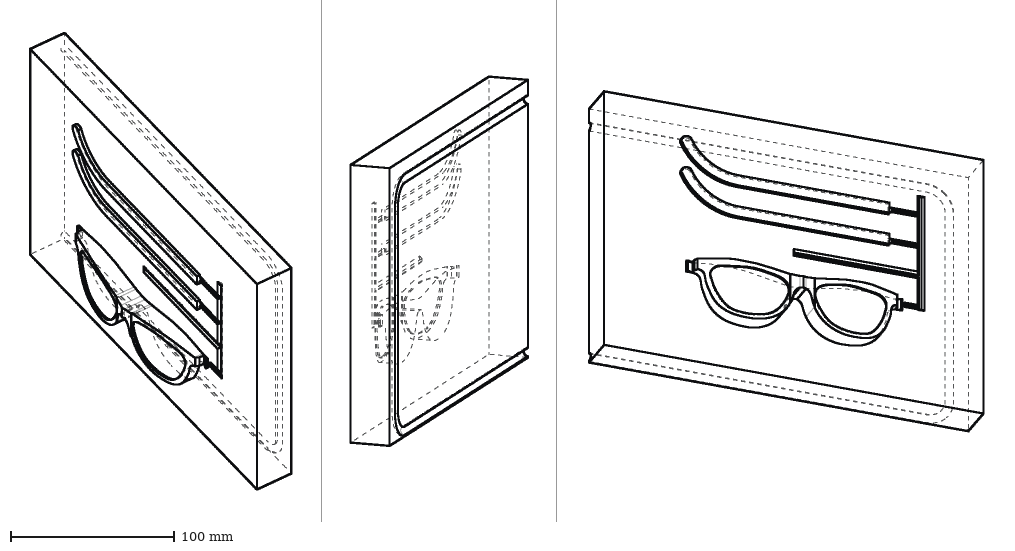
import cadquery as cq
import math

PLATE_LENGTH = 250.0
PLATE_HEIGHT = 175.0
PLATE_THICKNESS = 25.5
TOTAL_DEPTH = 41.52
RELIEF_DEPTH = TOTAL_DEPTH - PLATE_THICKNESS

TEMPLE_DEPTH = 2.3
TEMPLE_WIDTH = 7.0
TEMPLE_PITCH = 21.5
UPPER_TEMPLE_Z = 41.5
TEMPLE_ENDS_X = (-37.8, 62.2)
TEMPLE_BEND_RADIUS = 37.5
TEMPLE_BEND_ANGLE = 65.0
TEMPLE_TIP_BULGE = 2.4

CROWN_DEPTH = 14.2
RIM_END_X = 66.9
RIM_END_DEPTH = 5.7
RIM_SIDE_DEPTH = 3.4
RIM_SLANT = 1.1
HINGE_TOP_Z = -19.6
HINGE_BOTTOM_Z = -26.7
BRIDGE_TOP_Z = -24.1
BRIDGE_BOTTOM_Z = -32.0
BRIDGE_HALF_WIDTH = 8.0
BROW_END = (10.0, -22.9)
BRIDGE_TOP_CORNER = (BRIDGE_HALF_WIDTH, -23.3)
NOSE_CORNER = (BRIDGE_HALF_WIDTH, -43.0)
BROW_OUTER_X = 65.2
BROW_CURVE = [(20.8, -20.8), (28.5, -19.4), (37.4, -18.4), (45.8, -17.9), (54.0, -18.4)]
RIM_CURVE = [
    (61.8, -29.9), (61.0, -34.4), (59.2, -40.1), (56.0, -47.0), (51.5, -52.0),
    (45.1, -55.5), (37.4, -57.1), (27.2, -57.1), (20.8, -55.3), (14.4, -51.5), (10.2, -46.9),
]
NOSE_CURVE = [(6.0, -37.6), (4.5, -33.9)]
NOSE_ARCH_HALF_WIDTH = 2.0

LENS_RECESS = 1.0
LENS_CURVE = [
    (57.9, -31.2), (57.4, -27.0), (54.5, -24.1), (47.7, -23.0), (40.0, -22.5), (29.7, -22.7),
    (21.4, -24.4), (13.1, -27.1), (9.9, -29.9), (8.6, -33.7), (9.9, -39.3), (12.9, -44.8),
    (19.5, -51.4), (27.2, -54.0), (38.7, -54.0), (45.8, -51.9), (52.2, -45.3), (56.0, -37.8),
]

BRIDGE_EDGE_DEPTH = 14.6
STRIP_HALF_WIDTH = 2.0
STRIP_EDGE_DEPTH = 15.4

HINGE_END_X = 71.0
HINGE_LIP = 0.8
HINGE_LIP_DEPTH = 1.4

GROOVE_FLOOR_SHARE = 1 / 3
RUNNER_WIDTH = 4.6
GATE_WIDTH = 3.0
MAIN_RUNNER_X = 83.9
MAIN_RUNNER_TOP_Z = 54.5
HINGE_GATE_Z = -22.3
HINGE_GATE_START_X = 73.1
SPRUE_X = 0.0
SPRUE_Z = 0.0
TEMPLE_LAND_LENGTH = 2.7
TEMPLE_LAND_DEPTH = 0.5

CHANNEL_RADIUS = 2.7
CHANNEL_TOP_INSET = 12.5
CHANNEL_BOTTOM_INSET = 3.5
CHANNEL_TOP_Z = PLATE_HEIGHT / 2 - CHANNEL_TOP_INSET
CHANNEL_BOTTOM_Z = -PLATE_HEIGHT / 2 + CHANNEL_BOTTOM_INSET
CHANNEL_FAR_X = PLATE_LENGTH / 2 - CHANNEL_TOP_INSET
CHANNEL_BEND_RADIUS = 15.0


def front_plane():
    """Sketch plane on the plate front: local axes are X and Z, extrusion goes toward -Y."""
    return cq.Workplane("XZ")


def mirrored(half):
    return half.union(half.mirror("YZ"))


def plate():
    return (
        front_plane()
        .rect(PLATE_LENGTH, PLATE_HEIGHT)
        .extrude(-PLATE_THICKNESS)
    )


def temple(z):
    start_x, end_x = TEMPLE_ENDS_X
    bend_z = z + TEMPLE_BEND_RADIUS
    inner_radius = TEMPLE_BEND_RADIUS - TEMPLE_WIDTH / 2
    outer_radius = TEMPLE_BEND_RADIUS + TEMPLE_WIDTH / 2

    def on_bend(radius, degrees):
        angle = math.radians(degrees)
        return (start_x - radius * math.sin(angle), bend_z - radius * math.cos(angle))

    half_angle = TEMPLE_BEND_ANGLE / 2
    tip_angle = math.radians(TEMPLE_BEND_ANGLE)
    arm_end_x, arm_end_z = on_bend(TEMPLE_BEND_RADIUS, TEMPLE_BEND_ANGLE)
    tip_x = arm_end_x - TEMPLE_TIP_BULGE * math.cos(tip_angle)
    tip_z = arm_end_z + TEMPLE_TIP_BULGE * math.sin(tip_angle)
    return (
        front_plane()
        .moveTo(end_x, z - TEMPLE_WIDTH / 2)
        .lineTo(*on_bend(outer_radius, 0))
        .threePointArc(on_bend(outer_radius, half_angle), on_bend(outer_radius, TEMPLE_BEND_ANGLE))
        .threePointArc((tip_x, tip_z), on_bend(inner_radius, TEMPLE_BEND_ANGLE))
        .threePointArc(on_bend(inner_radius, half_angle), on_bend(inner_radius, 0))
        .lineTo(end_x, z + TEMPLE_WIDTH / 2)
        .close()
        .extrude(TEMPLE_DEPTH)
    )


def crowned_cylinder(inset):
    """Upright cylinder whose front is the frame's curved face, set back by `inset`."""
    drop = CROWN_DEPTH - RIM_END_DEPTH
    radius = (RIM_END_X ** 2 + drop ** 2) / (2 * drop)
    return (
        cq.Workplane("XY")
        .center(0, radius - CROWN_DEPTH)
        .circle(radius - inset)
        .extrude(PLATE_HEIGHT / 2, both=True)
    )


def half_frame():
    outline = (
        front_plane()
        .moveTo(0, BRIDGE_TOP_Z)
        .lineTo(STRIP_HALF_WIDTH, BRIDGE_TOP_Z)
        .lineTo(*BRIDGE_TOP_CORNER)
        .lineTo(*BROW_END)
        .spline(BROW_CURVE + [(BROW_OUTER_X, HINGE_TOP_Z)], includeCurrent=True)
        .lineTo(RIM_END_X, HINGE_TOP_Z)
        .lineTo(RIM_END_X, HINGE_BOTTOM_Z)
        .spline(RIM_CURVE + [NOSE_CORNER], includeCurrent=True)
        .spline(NOSE_CURVE + [(NOSE_ARCH_HALF_WIDTH, BRIDGE_BOTTOM_Z)], includeCurrent=True)
        .lineTo(0, BRIDGE_BOTTOM_Z)
        .close()
        .extrude(RELIEF_DEPTH)
    )
    rim = outline.intersect(crowned_cylinder(0)).cut(rim_end_slant())
    lens = front_plane().spline(LENS_CURVE, periodic=True).close().extrude(RELIEF_DEPTH)
    rim = rim.cut(lens.cut(crowned_cylinder(LENS_RECESS)))
    return rim.union(outline.intersect(half_bridge_section()))


def rim_end_slant():
    return (
        cq.Workplane("XY")
        .moveTo(RIM_END_X, -RIM_SIDE_DEPTH)
        .lineTo(RIM_END_X - RIM_SLANT, -RIM_END_DEPTH)
        .lineTo(RIM_END_X - RIM_SLANT, -RELIEF_DEPTH)
        .lineTo(RIM_END_X, -RELIEF_DEPTH)
        .close()
        .extrude(PLATE_HEIGHT / 2, both=True)
    )


def half_bridge_section():
    return (
        cq.Workplane("XY")
        .lineTo(0, -RELIEF_DEPTH)
        .lineTo(STRIP_HALF_WIDTH, -STRIP_EDGE_DEPTH)
        .lineTo(BRIDGE_HALF_WIDTH, -BRIDGE_EDGE_DEPTH)
        .lineTo(BRIDGE_HALF_WIDTH, 0)
        .close()
        .extrude(PLATE_HEIGHT / 2, both=True)
    )


def hinge_leaf():
    return (
        cq.Workplane("XY", origin=(0, 0, HINGE_BOTTOM_Z))
        .moveTo(RIM_END_X, 0)
        .lineTo(HINGE_END_X - HINGE_LIP, -HINGE_LIP_DEPTH)
        .lineTo(HINGE_END_X, -HINGE_LIP_DEPTH)
        .lineTo(HINGE_END_X, 0)
        .close()
        .extrude(HINGE_TOP_Z - HINGE_BOTTOM_Z)
    )


def groove(start, end, width):
    """Trapezoidal groove with 45 degree sides between two (x, z) points on the plate front."""
    half_top = width / 2
    half_floor = half_top * GROOVE_FLOOR_SHARE
    depth = half_top - half_floor
    start_x, start_z = start
    end_x, end_z = end
    length = math.hypot(end_x - start_x, end_z - start_z)
    across = cq.Vector(start_z - end_z, 0, end_x - start_x)
    along = cq.Vector(end_x - start_x, 0, end_z - start_z)
    plane = cq.Plane(origin=(start_x, 0, start_z), xDir=across, normal=along)
    into_plate = plane.yDir.y
    return (
        cq.Workplane(plane)
        .moveTo(-half_top, 0)
        .lineTo(-half_floor, into_plate * depth)
        .lineTo(half_floor, into_plate * depth)
        .lineTo(half_top, 0)
        .close()
        .extrude(length)
    )


def temple_land(z):
    return (
        front_plane()
        .center(TEMPLE_ENDS_X[1] + TEMPLE_LAND_LENGTH / 2, z)
        .rect(TEMPLE_LAND_LENGTH, GATE_WIDTH)
        .extrude(-TEMPLE_LAND_DEPTH)
    )


def runner_grooves():
    bottom_z = HINGE_GATE_Z - GATE_WIDTH / 2
    grooves = groove((MAIN_RUNNER_X, bottom_z), (MAIN_RUNNER_X, MAIN_RUNNER_TOP_Z), RUNNER_WIDTH)
    grooves = grooves.union(groove((SPRUE_X, SPRUE_Z), (MAIN_RUNNER_X, SPRUE_Z), RUNNER_WIDTH))
    hinge_gate = groove((HINGE_GATE_START_X, HINGE_GATE_Z), (MAIN_RUNNER_X, HINGE_GATE_Z), GATE_WIDTH)
    grooves = grooves.union(hinge_gate)
    temple_gate_x = TEMPLE_ENDS_X[1] + TEMPLE_LAND_LENGTH
    for z in temple_heights():
        grooves = grooves.union(groove((temple_gate_x, z), (MAIN_RUNNER_X, z), GATE_WIDTH))
        grooves = grooves.union(temple_land(z))
    return grooves


def temple_heights():
    return (UPPER_TEMPLE_Z, UPPER_TEMPLE_Z - TEMPLE_PITCH)


def cooling_channel():
    side_x = -PLATE_LENGTH / 2
    bend = CHANNEL_BEND_RADIUS
    path = (
        cq.Workplane("XZ", origin=(0, PLATE_THICKNESS, 0))
        .moveTo(side_x, CHANNEL_TOP_Z)
        .lineTo(CHANNEL_FAR_X - bend, CHANNEL_TOP_Z)
        .tangentArcPoint((bend, -bend))
        .lineTo(CHANNEL_FAR_X, CHANNEL_BOTTOM_Z + bend)
        .tangentArcPoint((-bend, -bend))
        .lineTo(side_x, CHANNEL_BOTTOM_Z)
    )
    return (
        cq.Workplane("YZ", origin=(side_x, PLATE_THICKNESS, CHANNEL_TOP_Z))
        .circle(CHANNEL_RADIUS)
        .sweep(path)
    )


result = plate().cut(runner_grooves()).cut(cooling_channel())
for temple_z in temple_heights():
    result = result.union(temple(temple_z))
result = result.union(mirrored(half_frame()))
result = result.union(mirrored(hinge_leaf()))